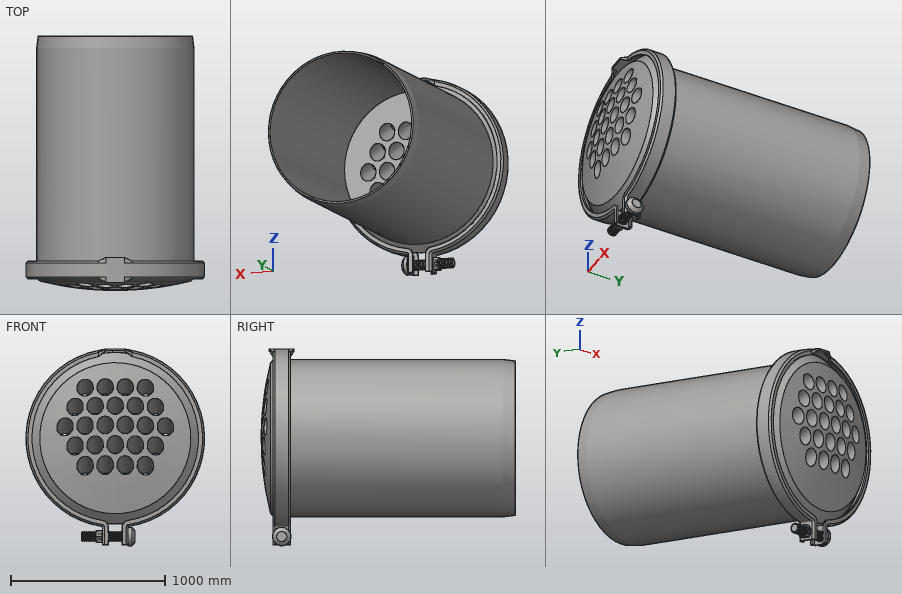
import cadquery as cq
import math


total_length = 1650.0
pipe_radius = 1023.0 / 2
bore_radius = 980.0 / 2
spigot_length = 80.0
spigot_end_radius = pipe_radius - 10.0

joint_y = 134.0
flange_radius = 558.0
flange_rim = 7.0
pipe_flange_slope_end = joint_y + flange_rim + flange_radius - pipe_radius

crown_radius = bore_radius
crown_depth = 61.0
plug_end = 259.0
vent_diameter = 105.0
vent_tilt = 24.0
vent_column_pitch = 130.0
vent_row_pitch = 129.0
vent_rows = [4, 5, 6, 5, 4]
vent_middle_z = 87.0

clamp_radius = 1160.0 / 2
clamp_width = 115.0
channel_depth = 40.0
sheet = 13.0
channel_bevel = 13.0
lug_outer_x = 84.0
lug_bottom_z = -693.0
lug_bend_radius = 5.0
tab_top_z = 580.0
tab_half_length = 60.0
tab_width = 162.0
tab_flare_x = 109.0

bolt_z = -639.0
lug_hole_radius = 70.0 / 2
bolt_radius = 65.0 / 2
bolt_tip_x = -218.0
thread_pitch = 12.4
thread_depth = 7.0
head_radius = 120.0 / 2
head_rim = 23.0
head_height = 45.0
head_top_radius = 33.0
dome_mid_height = 33.0
dome_mid_radius = 51.0
nut_flats = 78.0
nut_height = 40.0


def revolved(points):
    """Solid of revolution about the Y axis from (radius, y) points."""
    return cq.Workplane("XY").polyline(points).close().revolve(360, (0, 0, 0), (0, 1, 0))


def make_pipe():
    return revolved([
        (bore_radius, joint_y),
        (flange_radius, joint_y),
        (flange_radius, joint_y + flange_rim),
        (pipe_radius, pipe_flange_slope_end),
        (pipe_radius, total_length - spigot_length),
        (spigot_end_radius, total_length),
        (bore_radius, total_length),
    ])


def vent_holes():
    """Staggered holes that slope downwards into the lid."""
    tilt = math.radians(vent_tilt)
    direction = cq.Vector(0, math.cos(tilt), -math.sin(tilt))
    lead_in = plug_end
    length = 4 * plug_end
    holes = []
    for row, count in enumerate(vent_rows):
        z = vent_middle_z + ((len(vent_rows) - 1) / 2 - row) * vent_row_pitch
        for column in range(count):
            x = (column - (count - 1) / 2) * vent_column_pitch
            start = cq.Vector(x, 0, z) - direction * lead_in
            holes.append(cq.Solid.makeCylinder(vent_diameter / 2, length, start, direction))
    return holes


def make_lid():
    """Domed plug with a conical flange, pierced by the vents."""
    dome_radius = (crown_radius**2 + crown_depth**2) / (2 * crown_depth)
    half_crown = crown_radius / 2
    half_crown_y = dome_radius - math.sqrt(dome_radius**2 - half_crown**2)
    body = (
        cq.Workplane("XY")
        .moveTo(0, 0)
        .threePointArc((half_crown, half_crown_y), (crown_radius, crown_depth))
        .lineTo(flange_radius, crown_depth + flange_radius - crown_radius)
        .lineTo(flange_radius, joint_y)
        .lineTo(bore_radius, joint_y)
        .lineTo(bore_radius, plug_end)
        .lineTo(0, plug_end)
        .close()
        .revolve(360, (0, 0, 0), (0, 1, 0))
    )
    return body.cut(cq.Workplane(obj=cq.Compound.makeCompound(vent_holes())))


def keyhole(inset, width):
    """Round plate with a straight neck below, inset from the outside of the clamp."""
    radius = clamp_radius - inset
    neck = lug_outer_x - inset
    neck_length = 1.5 * clamp_radius
    disc = cq.Workplane("XZ").circle(radius).extrude(width / 2, both=True)
    stem = cq.Workplane("XY").box(2 * neck, width, neck_length, centered=(True, True, False))
    plate = disc.union(stem.translate((0, 0, -neck_length)))
    corner_z = -math.sqrt(radius**2 - neck**2)
    margin = 2.0
    corners = cq.selectors.BoxSelector(
        (-neck - margin, -width, corner_z - margin),
        (neck + margin, width, corner_z + margin),
    )
    return plate.edges("|Y").edges(corners).fillet(lug_bend_radius + inset)


def tab_transition():
    """Stretch where the channel opens out into the flat tab, on the +X side."""
    def ring_z(inset):
        return math.sqrt((clamp_radius - inset) ** 2 - tab_flare_x**2)

    half = clamp_width / 2
    tab_half = tab_width / 2
    tab_under_z = tab_top_z - sheet
    channel_half = [
        (half - channel_bevel, ring_z(0)),
        (half, ring_z(channel_bevel)),
        (half, ring_z(channel_depth)),
        (half - sheet, ring_z(channel_depth)),
        (half - sheet, ring_z(sheet)),
    ]
    tab_half_section = [
        (half - channel_bevel, tab_top_z),
        (tab_half, tab_top_z),
        (tab_half, tab_under_z),
        (tab_half - sheet, tab_under_z),
        (half - sheet, tab_under_z),
    ]

    def section(x, points):
        outline = points + [(-y, z) for y, z in reversed(points)]
        return cq.Wire.makePolygon([cq.Vector(x, y, z) for y, z in outline], close=True)

    wires = [section(tab_half_length, tab_half_section), section(tab_flare_x, channel_half)]
    return cq.Workplane(obj=cq.Solid.makeLoft(wires, True))


def make_clamp():
    outside = keyhole(0, clamp_width).faces("<Y or >Y").edges().chamfer(channel_bevel)
    channel = outside.cut(keyhole(channel_depth, 2 * clamp_width))
    channel = channel.cut(keyhole(sheet, clamp_width - 2 * sheet))

    trim = cq.Workplane("XY").box(clamp_radius, 2 * clamp_width, clamp_radius)
    channel = channel.cut(trim.translate((0, 0, lug_bottom_z - clamp_radius / 2)))
    opening = cq.Workplane("XY").box(2 * tab_flare_x, 2 * clamp_width, clamp_radius)
    channel = channel.cut(opening.translate((0, 0, clamp_radius)))

    tab = cq.Workplane("XY").box(2 * tab_half_length, tab_width, sheet)
    tab = tab.translate((0, 0, tab_top_z - sheet / 2))
    transition = tab_transition()
    clamp = channel.union(tab).union(transition).union(transition.mirror("YZ"))

    bolt_hole = cq.Workplane("YZ").center(0, bolt_z).circle(lug_hole_radius)
    clamp = clamp.cut(bolt_hole.extrude(2 * lug_outer_x, both=True))
    return clamp.translate((0, joint_y, 0))


def make_bolt():
    """Domed-head bolt with ring grooves for its thread."""
    head_top_x = lug_outer_x + head_height
    dome_mid = (lug_outer_x + dome_mid_height, dome_mid_radius)
    thread_length = lug_outer_x - bolt_tip_x
    ridge_count = int(thread_length / thread_pitch)
    root_radius = bolt_radius - thread_depth
    profile = cq.Workplane("XY").moveTo(bolt_tip_x, 0).lineTo(bolt_tip_x, root_radius)
    for ridge in range(ridge_count):
        root_x = bolt_tip_x + ridge * thread_pitch
        profile = profile.lineTo(root_x + thread_pitch / 2, bolt_radius)
        profile = profile.lineTo(root_x + thread_pitch, root_radius)
    profile = (
        profile.lineTo(lug_outer_x, root_radius)
        .lineTo(lug_outer_x, head_radius)
        .lineTo(lug_outer_x + head_rim, head_radius)
        .threePointArc(dome_mid, (head_top_x, head_top_radius))
        .lineTo(head_top_x, 0)
        .close()
    )
    return profile.revolve(360, (0, 0, 0), (1, 0, 0)).translate((0, joint_y, bolt_z))


def make_nut():
    across_corners = nut_flats / math.cos(math.radians(30))
    nut = cq.Workplane("YZ").polygon(6, across_corners).circle(bolt_radius).extrude(-nut_height)
    return nut.translate((-lug_outer_x, joint_y, bolt_z))


pipe = make_pipe()
lid = make_lid()
clamp = make_clamp()
bolt = make_bolt()
nut = make_nut()

result = cq.Compound.makeCompound([pipe.val(), lid.val(), clamp.val(), bolt.val(), nut.val()])